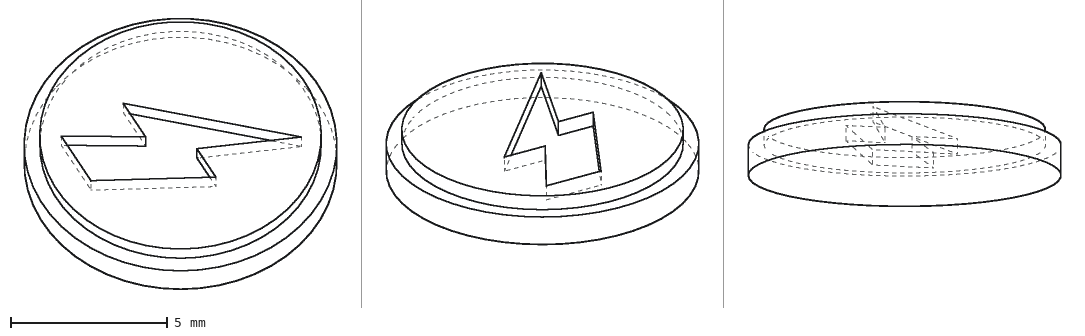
import cadquery as cq

base_diameter = 10.0
base_height = 1.0
rim_width = 0.5
boss_diameter = base_diameter - 2 * rim_width
boss_height = 0.5
total_height = base_height + boss_height

bolt_depth = 0.5
bolt_half_height = 3.37
upper_step_y = 0.21
lower_step_y = -1.01
bolt_outline = [
    (1.89, bolt_half_height),
    (0.71, upper_step_y),
    (1.99, upper_step_y),
    (0.22, -bolt_half_height),
    (-1.79, -bolt_half_height),
    (-0.48, lower_step_y),
    (-1.99, lower_step_y),
]


def make_disc():
    """Base disc with a smaller concentric disc on top."""
    base = cq.Workplane("XY").circle(base_diameter / 2).extrude(base_height)
    return base.faces(">Z").workplane().circle(boss_diameter / 2).extrude(boss_height)


def make_bolt_cutter():
    """Lightning bolt prism reaching down from the top face."""
    top_plane = cq.Workplane("XY").workplane(offset=total_height)
    return top_plane.polyline(bolt_outline).close().extrude(-bolt_depth)


result = make_disc().cut(make_bolt_cutter())